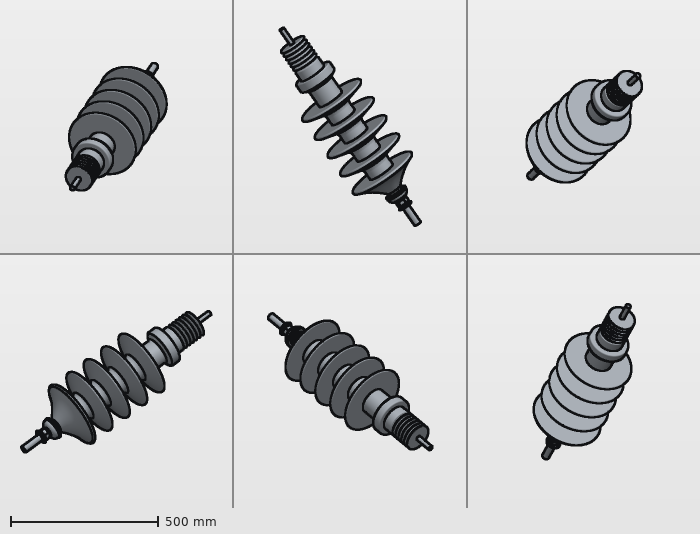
import cadquery as cq
import math

TOTAL_LENGTH = 821.0
ROD_END_Y = TOTAL_LENGTH / 2

ROD_DIAMETER = 25.5
WASHER_START = 75.0
WASHER_THICKNESS = 3.0
WASHER_DIAMETER = 49.0
NUT_START = 84.5
NUT_THICKNESS = 17.0
NUT_ACROSS_CORNERS = 43.0
SEAT_DIAMETER = 36.0
CAP_START = 107.5
CAP_TOP_RADIUS = 23.0
CAP_RADIUS = 37.0
CAP_LIP_START = 126.5
CAP_LIP_RADIUS = 39.0
CAP_END = 134.0
PIN_DIAMETER = 17.0

NECK_RADIUS = 26.0
NECK_END = 144.0
TRUNK_RADIUS = 47.0
SHED_COUNT = 5
TOP_SHED_BASE = 219.0
LAST_SHED_BASE = 525.5
SHED_PITCH = (LAST_SHED_BASE - TOP_SHED_BASE) / (SHED_COUNT - 1)
TOP_SHED_RADIUS = 121.5
TOP_SHED_SAG = 6.0
SHED_RADIUS = 121.0
SHED_RIM_HEIGHT = 11.0
SHED_RIM_ROUND = SHED_RIM_HEIGHT / 2
SHED_FLARE_HEIGHT = 48.0
SHED_FLARE_SAG = 2.0
SHED_CONE_HEIGHT = 31.0
SHED_CONE_RADIUS = 53.0

COLLAR_FLARE_START = 584.0
COLLAR_FLARE_SAG = 1.0
COLLAR_CONE_START = 591.0
COLLAR_CONE_RADIUS = 49.0
COLLAR_START = 601.0
COLLAR_END = 635.0
COLLAR_RADIUS = 70.0
COLLAR_ROUND = 5.0

INSULATOR_END = 759.0
FOOT_RADIUS = 48.0
RIB_COUNT = 6
RIB_PITCH = 15.0
RIB_ROUND = RIB_PITCH / 4
FOOT_END = INSULATOR_END - RIB_COUNT * RIB_PITCH - RIB_ROUND

QUARTER_ROUND_SAG = 1 - math.cos(math.pi / 4)


def station_y(station):
    """Y coordinate of a station."""
    return ROD_END_Y - station


def disc(diameter, start, end):
    """Cylinder on the Y axis between two stations."""
    plane = cq.Workplane("XZ", origin=(0, station_y(start), 0))
    return plane.circle(diameter / 2).extrude(end - start)


def start_profile(station):
    """Begin a half profile on the axis."""
    return cq.Workplane("XY").moveTo(0, station_y(station))


def line(profile, radius, station):
    """Continue a profile straight to a radius and station."""
    return profile.lineTo(radius, station_y(station))


def arc(profile, start, end, sag):
    """Arc between two (radius, station) points; a positive sag is hollow, a negative one bulges."""
    start_radius, start_station = start
    end_radius, end_station = end
    radius_step = end_radius - start_radius
    station_step = end_station - start_station
    chord = math.hypot(radius_step, station_step)
    middle_radius = (start_radius + end_radius) / 2 - sag * station_step / chord
    middle_station = (start_station + end_station) / 2 + sag * radius_step / chord
    return profile.threePointArc(
        (middle_radius, station_y(middle_station)), (end_radius, station_y(end_station))
    )


def revolved(profile, end):
    """Bring a profile back to the axis at its end station and turn it about the Y axis."""
    return line(profile, 0, end).close().revolve(360, (0, 0, 0), (0, -1, 0))



def make_nut():
    plane = cq.Workplane("XZ", origin=(0, station_y(NUT_START), 0))
    return plane.polygon(6, NUT_ACROSS_CORNERS).extrude(NUT_THICKNESS)


def make_cap():
    """Dome whose side is a quarter-turn arc, above a thin projecting lip."""
    dome_depth = CAP_LIP_START - CAP_START
    dome_width = CAP_RADIUS - CAP_TOP_RADIUS
    middle_radius = CAP_RADIUS - dome_width * QUARTER_ROUND_SAG
    middle_station = CAP_START + dome_depth * QUARTER_ROUND_SAG

    profile = start_profile(CAP_START)
    profile = line(profile, CAP_TOP_RADIUS, CAP_START)
    profile = profile.threePointArc(
        (middle_radius, station_y(middle_station)), (CAP_RADIUS, station_y(CAP_LIP_START))
    )
    profile = line(profile, CAP_LIP_RADIUS, CAP_LIP_START)
    profile = line(profile, CAP_LIP_RADIUS, CAP_END)
    return revolved(profile, CAP_END)


def make_conductor():
    rod = disc(ROD_DIAMETER, 0, CAP_START)
    washer = disc(WASHER_DIAMETER, WASHER_START, WASHER_START + WASHER_THICKNESS)
    seat = disc(SEAT_DIAMETER, NUT_START + NUT_THICKNESS, CAP_START)
    pin = disc(PIN_DIAMETER, CAP_END, TOTAL_LENGTH)
    return rod.union(washer).union(make_nut()).union(seat).union(make_cap()).union(pin)



def add_rim(profile, radius, base):
    """Half-round shed rim, from its upper edge down to the flat base."""
    tip = (radius, station_y(base - SHED_RIM_ROUND))
    return profile.threePointArc(tip, (radius - SHED_RIM_ROUND, station_y(base)))


def make_top_shed():
    """Neck flaring in one hollow curve to the largest shed."""
    neck_end = (NECK_RADIUS, NECK_END)
    rim_start = (TOP_SHED_RADIUS - SHED_RIM_ROUND, TOP_SHED_BASE - SHED_RIM_HEIGHT)

    profile = start_profile(CAP_END)
    profile = line(profile, NECK_RADIUS, CAP_END)
    profile = line(profile, *neck_end)
    profile = arc(profile, neck_end, rim_start, TOP_SHED_SAG)
    profile = add_rim(profile, TOP_SHED_RADIUS, TOP_SHED_BASE)
    return revolved(profile, TOP_SHED_BASE)


def make_shed(base):
    """Conical shed with a hollow flare where it leaves the trunk."""
    flare_start = (TRUNK_RADIUS, base - SHED_FLARE_HEIGHT)
    cone_start = (SHED_CONE_RADIUS, base - SHED_CONE_HEIGHT)

    profile = start_profile(base - SHED_FLARE_HEIGHT)
    profile = line(profile, *flare_start)
    profile = arc(profile, flare_start, cone_start, SHED_FLARE_SAG)
    profile = line(profile, SHED_RADIUS - SHED_RIM_ROUND, base - SHED_RIM_HEIGHT)
    profile = add_rim(profile, SHED_RADIUS, base)
    return revolved(profile, base)


def make_collar():
    """Collar with rounded edges, joined to the trunk by a flare and a cone."""
    shoulder_radius = COLLAR_RADIUS - COLLAR_ROUND
    round_sag = QUARTER_ROUND_SAG * COLLAR_ROUND
    flare_start = (TRUNK_RADIUS, COLLAR_FLARE_START)
    cone_start = (COLLAR_CONE_RADIUS, COLLAR_CONE_START)
    upper_shoulder = (shoulder_radius, COLLAR_START)
    side_start = (COLLAR_RADIUS, COLLAR_START + COLLAR_ROUND)
    side_end = (COLLAR_RADIUS, COLLAR_END - COLLAR_ROUND)
    lower_shoulder = (shoulder_radius, COLLAR_END)

    profile = start_profile(COLLAR_FLARE_START)
    profile = line(profile, *flare_start)
    profile = arc(profile, flare_start, cone_start, COLLAR_FLARE_SAG)
    profile = line(profile, *upper_shoulder)
    profile = arc(profile, upper_shoulder, side_start, -round_sag)
    profile = line(profile, *side_end)
    profile = arc(profile, side_end, lower_shoulder, -round_sag)
    return revolved(profile, COLLAR_END)


def make_foot():
    """Plain foot followed by ribs whose tips and grooves are half circles of one radius."""
    middle_radius = FOOT_RADIUS - RIB_ROUND
    ribs_start = FOOT_END + RIB_ROUND
    foot_edge = (FOOT_RADIUS, FOOT_END)

    profile = start_profile(COLLAR_END)
    profile = line(profile, FOOT_RADIUS, COLLAR_END)
    profile = line(profile, *foot_edge)
    profile = arc(profile, foot_edge, (middle_radius, ribs_start), -QUARTER_ROUND_SAG * RIB_ROUND)
    for i in range(RIB_COUNT):
        groove_start = (middle_radius, ribs_start + i * RIB_PITCH)
        rib_start = (middle_radius, ribs_start + (i + 0.5) * RIB_PITCH)
        rib_end = (middle_radius, ribs_start + (i + 1) * RIB_PITCH)
        profile = arc(profile, groove_start, rib_start, RIB_ROUND)
        profile = arc(profile, rib_start, rib_end, -RIB_ROUND)
    return revolved(profile, INSULATOR_END)


def make_insulator():
    trunk = disc(2 * TRUNK_RADIUS, TOP_SHED_BASE, COLLAR_FLARE_START)
    body = trunk.union(make_top_shed())
    for i in range(1, SHED_COUNT):
        body = body.union(make_shed(TOP_SHED_BASE + i * SHED_PITCH))
    body = body.union(make_collar()).union(make_foot())
    pin_bore = disc(PIN_DIAMETER, CAP_END, INSULATOR_END)
    return body.cut(pin_bore)


conductor = make_conductor()
insulator = make_insulator()
result = cq.Compound.makeCompound([conductor.solids().val(), insulator.solids().val()])